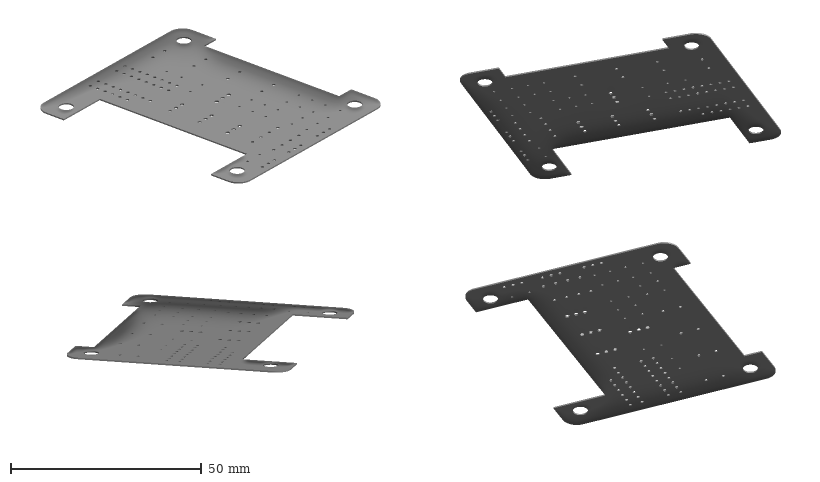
import cadquery as cq

board_length = 70.0
board_width = 61.0
board_thickness = 0.41
corner_radius = 4.05

rear_notch_length = 45.85
rear_notch_depth = 5.05
front_notch_length = 49.9
front_notch_depth = 15.0

mount_spacing_x = 57.95
mount_spacing_y = 49.0
mount_diameter = 4.0

lead_diameter = 0.7
pin_diameter = 0.9
terminal_diameter = 1.1
wide_terminal_diameter = 1.2

long_row_pins = 8
short_row_pins = 6
relay_pins = 4
connector_pins = 3
two_leads = 2

pin_pitch = 2.5
resistor_span = 2 * pin_pitch
capacitor_span = 5.0
column_pitch = 4.5
relay_pitch = 3.5

row_start_x = -31.65
pin_rows = [
    (3.2, long_row_pins),
    (-0.3, long_row_pins),
    (-7.9, long_row_pins),
    (-11.3, short_row_pins),
]

middle_y = 5.25
lower_terminal_y = -6.8
terminals = [(-6.15, lower_terminal_y), (3.85, lower_terminal_y)]
wide_terminals = [(-0.15, middle_y), (13.4, lower_terminal_y)]

connector_x = 32.8
upper_connector_y = 6.7
lower_connector_y = -16.25
connectors_y = [upper_connector_y, -5.25, lower_connector_y]

relay_columns_x = [21.8, 28.9]
relay_center_y = -4.0

capacitor_row_y = 17.2
capacitors = [(-29.1, 14.2)] + [(x, capacitor_row_y) for x in (-17.65, -6.15, 5.4)]

upper_resistor_x = 14.35
upper_resistor_y = 16.65
middle_resistor_x = 6.4
flat_resistor_x = upper_resistor_x + 2 * column_pitch + resistor_span / 2
resistors_along_y = [
    (upper_resistor_x, upper_resistor_y),
    (upper_resistor_x + column_pitch, upper_resistor_y),
    (upper_resistor_x + 2 * column_pitch, upper_resistor_y),
    (upper_resistor_x + 2 * column_pitch + resistor_span, upper_resistor_y),
    (middle_resistor_x, upper_connector_y),
    (middle_resistor_x + column_pitch, upper_connector_y),
    (middle_resistor_x + 2 * column_pitch, upper_connector_y),
    (-9.1, middle_y),
    (27.8, lower_connector_y),
]
resistors_along_x = [
    (flat_resistor_x, middle_y),
    (flat_resistor_x, middle_y + column_pitch),
    (-18.6, 7.7),
]


def line_of_holes(center, count, pitch, along_y=False):
    """Evenly spaced points on a line along X or Y, centred on a point."""
    x, y = center
    offsets = [(i - (count - 1) / 2) * pitch for i in range(count)]
    if along_y:
        return [(x, y + offset) for offset in offsets]
    return [(x + offset, y) for offset in offsets]


def drill(board, points, diameter):
    """Cut round through holes at the points."""
    drills = cq.Workplane("XY").pushPoints(points).circle(diameter / 2).extrude(board_thickness)
    return board.cut(drills)


def plate(length, width):
    """Flat block of the board's thickness, centred in X and Y, with its bottom at Z = 0."""
    return cq.Workplane("XY").box(length, width, board_thickness, centered=(True, True, False))


def edge_notch(length, depth, side):
    """Block that cuts a notch into the rear (side = 1) or front (side = -1) edge."""
    return plate(length, 2 * depth).translate((0, side * board_width / 2, 0))


def blank_board():
    """Board with rounded corners and both edge notches."""
    board = plate(board_length, board_width).edges("|Z").fillet(corner_radius)
    board = board.cut(edge_notch(rear_notch_length, rear_notch_depth, 1))
    return board.cut(edge_notch(front_notch_length, front_notch_depth, -1))


def mount_points():
    """Corners of the mounting hole rectangle."""
    return [
        (sx * mount_spacing_x / 2, sy * mount_spacing_y / 2)
        for sx in (-1, 1)
        for sy in (-1, 1)
    ]


def pin_points():
    """Holes of the pin rows, connectors, relay and capacitors."""
    points = []
    for y, count in pin_rows:
        points += [(row_start_x + i * pin_pitch, y) for i in range(count)]
    for y in connectors_y:
        points += line_of_holes((connector_x, y), connector_pins, pin_pitch, along_y=True)
    for x in relay_columns_x:
        points += line_of_holes((x, relay_center_y), relay_pins, relay_pitch, along_y=True)
    for center in capacitors:
        points += line_of_holes(center, two_leads, capacitor_span, along_y=True)
    return points


def terminal_points(centers):
    """Three holes along Y around each middle hole."""
    points = []
    for center in centers:
        points += line_of_holes(center, connector_pins, pin_pitch, along_y=True)
    return points


def resistor_points():
    """Two lead holes for each resistor."""
    points = []
    for center in resistors_along_y:
        points += line_of_holes(center, two_leads, resistor_span, along_y=True)
    for center in resistors_along_x:
        points += line_of_holes(center, two_leads, resistor_span)
    return points


result = blank_board()
result = drill(result, mount_points(), mount_diameter)
result = drill(result, pin_points(), pin_diameter)
result = drill(result, terminal_points(terminals), terminal_diameter)
result = drill(result, terminal_points(wide_terminals), wide_terminal_diameter)
result = drill(result, resistor_points(), lead_diameter)